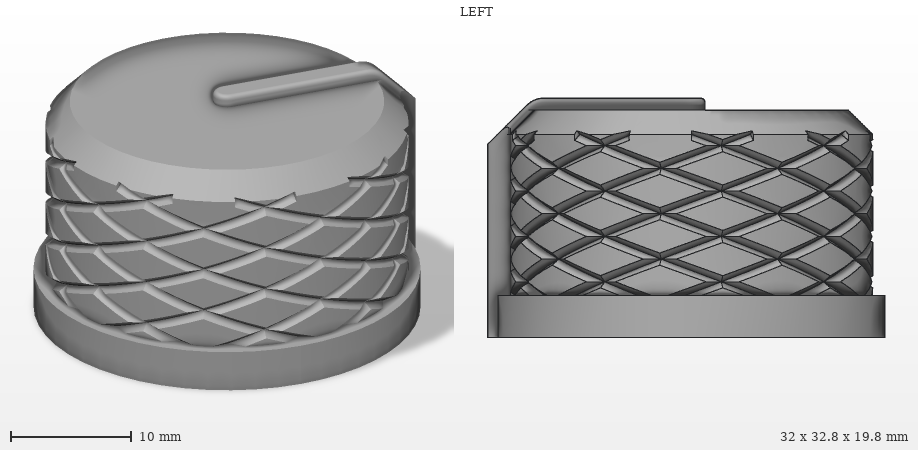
import cadquery as cq
import math

flange_radius = 16.0
flange_height = 3.5
grip_radius = 15.0
body_height = 18.8
top_chamfer = 2.0
grip_top = body_height - top_chamfer
rim_radius = grip_radius - top_chamfer
seam_angle = 97.0

groove_count = 9
groove_pitch = 33.75
groove_turn = 150.0
groove_depth = 0.7
groove_half_height = 0.5
groove_overrun = 0.4
groove_rise = groove_pitch * groove_turn / 360

rib_half_width = 1.15
rib_height = 1.0
rib_top = body_height + rib_height
rib_edge_radius = 0.4
rib_bend_radius = 2.0
rib_foot_radius = 0.3
foot_overlap = 0.2
nose_tip = 16.82
nose_tip_radius = 0.22
nose_half_angle = 30.0
nose_foot_radius = 0.5

slope_sum = grip_radius + grip_top + rib_height
slope_top = slope_sum - rib_top

normal_x = math.cos(math.radians(nose_half_angle))
normal_y = math.sin(math.radians(nose_half_angle))
nose_apex = nose_tip + nose_tip_radius * (1 / normal_y - 1)


def turn_about_axis(shape, angle):
    return shape.rotate((0, 0, 0), (0, 0, 1), angle)


def flip(point):
    """Plan point on the opposite side of the pointer."""
    return (-point[0], point[1])


def make_body():
    profile = [
        (0, 0),
        (grip_radius, 0),
        (grip_radius, grip_top),
        (rim_radius, body_height),
        (0, body_height),
    ]
    body = cq.Workplane("XZ").polyline(profile).close().revolve(360, (0, 0), (0, 1))
    return turn_about_axis(body, seam_angle)


def make_groove_cutter():
    """Right-hand helical cutter of V section that ends over the +X axis at the top of the grip."""
    root_radius = grip_radius - groove_depth
    mouth_radius = grip_radius + groove_overrun
    mouth_half_height = groove_half_height * (mouth_radius - root_radius) / groove_depth
    section = cq.Workplane("XZ").polyline([
        (root_radius, 0),
        (mouth_radius, mouth_half_height),
        (mouth_radius, -mouth_half_height),
    ]).close()
    helix = cq.Wire.makeHelix(groove_pitch, groove_rise, grip_radius)
    cutter = section.sweep(cq.Workplane(helix), isFrenet=True)
    return turn_about_axis(cutter, -groove_turn).translate((0, 0, grip_top - groove_rise))


def cut_knurl(body):
    """Cut each hand of grooves in one step; grooves of the same hand never meet."""
    right_hand = make_groove_cutter()
    left_hand = right_hand.mirror("YZ")
    solid = body.val()
    for cutter in (right_hand, left_hand):
        ring = []
        for index in range(groove_count):
            ring.append(turn_about_axis(cutter, index * 360 / groove_count).val())
        solid = solid.cut(*ring)
    return solid


def make_pointer():
    """Rib with a round inner end and rounded top edges, cut to a V-shaped nose at the front."""
    slab = (
        cq.Workplane("YZ")
        .moveTo(-rib_half_width, 0)
        .lineTo(nose_tip, 0)
        .lineTo(nose_tip, slope_sum - nose_tip)
        .lineTo(slope_top, rib_top)
        .lineTo(-rib_half_width, rib_top)
        .close()
        .extrude(rib_half_width, both=True)
    )
    bend = cq.selectors.NearestToPointSelector((0, slope_top, rib_top))
    slab = slab.edges(bend).fillet(rib_bend_radius)

    round_end_plan = (
        cq.Workplane("XY")
        .moveTo(rib_half_width, nose_tip)
        .lineTo(rib_half_width, 0)
        .threePointArc((0, -rib_half_width), (-rib_half_width, 0))
        .lineTo(-rib_half_width, nose_tip)
        .close()
        .extrude(rib_top)
    )
    rib = slab.intersect(round_end_plan)
    rib = rib.faces(">Z").edges("|Y").fillet(rib_edge_radius)

    plan_half_width = 2 * rib_half_width
    plan_front = nose_apex - plan_half_width * normal_x / normal_y
    tip_point = (nose_tip_radius * normal_x, nose_tip - nose_tip_radius * (1 - normal_y))
    nose_plan = (
        cq.Workplane("XY")
        .moveTo(plan_half_width, -plan_half_width)
        .lineTo(plan_half_width, plan_front)
        .lineTo(*tip_point)
        .threePointArc((0, nose_tip), flip(tip_point))
        .lineTo(-plan_half_width, plan_front)
        .lineTo(-plan_half_width, -plan_half_width)
        .close()
        .extrude(rib_top)
    )
    return rib.intersect(nose_plan).val()


def make_nose_feet():
    """Concave blends between the flanks of the nose and the grip."""
    centre_distance = grip_radius + nose_foot_radius
    offset = nose_apex * normal_y + nose_foot_radius
    along = math.sqrt(centre_distance ** 2 - offset ** 2)
    centre_x = offset * normal_x - along * normal_y
    centre_y = offset * normal_y + along * normal_x
    flank_point = (centre_x - nose_foot_radius * normal_x, centre_y - nose_foot_radius * normal_y)
    grip_point = (
        centre_x * grip_radius / centre_distance,
        centre_y * grip_radius / centre_distance,
    )
    feet = (
        cq.Workplane("XY")
        .moveTo(grip_point[0], rim_radius)
        .lineTo(*grip_point)
        .radiusArc(flank_point, nose_foot_radius)
        .lineTo(*flip(flank_point))
        .radiusArc(flip(grip_point), nose_foot_radius)
        .lineTo(-grip_point[0], rim_radius)
        .close()
        .extrude(grip_top)
    )
    return feet.val()


def make_rib_feet():
    """Concave blends between the sloped part of the rib and the body chamfer."""
    slope_plane = cq.Plane((0, grip_radius, grip_top), xDir=(1, 0, 0), normal=(0, -1, 1))
    inner_x = rib_half_width - foot_overlap
    outer_x = rib_half_width + rib_foot_radius
    foot = (
        cq.Workplane(slope_plane)
        .moveTo(inner_x, -foot_overlap)
        .lineTo(outer_x, -foot_overlap)
        .lineTo(outer_x, 0)
        .radiusArc((rib_half_width, rib_foot_radius), rib_foot_radius)
        .lineTo(inner_x, rib_foot_radius)
        .close()
        .extrude(2 * top_chamfer)
    )
    envelope = cq.Workplane("XY").circle(grip_radius).extrude(body_height)
    foot = foot.intersect(envelope)
    return [foot.val(), foot.mirror("YZ").val()]


flange = cq.Workplane("XY").circle(flange_radius).extrude(flange_height).val()
knurled_body = cut_knurl(make_body())
knob = knurled_body.fuse(flange, make_pointer(), make_nose_feet(), *make_rib_feet()).clean()
result = cq.Workplane(knob.Solids()[0])